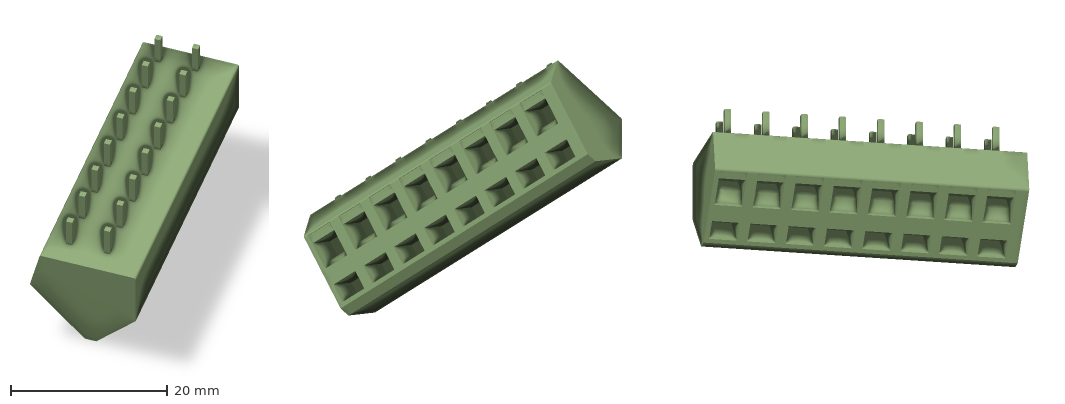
import cadquery as cq
import math

LENGTH = 41.0
RIGHT_X = 14.25
HOUSING_TOP = 13.0
TOP_LEFT_X = 1.3
NOSE_X = -0.05
NOSE_Z = 7.42
KEEL_LEFT_X = NOSE_X + NOSE_Z
KEEL_RIGHT_X = 8.95
RIGHT_WALL_BOTTOM = RIGHT_X - KEEL_RIGHT_X
TOP_RADIUS = 0.3
NOSE_RADIUS = 0.4

POLE_COUNT = 8
POLE_PITCH = 5.0
LAST_POLE_Y = 18.05
POLE_YS = [LAST_POLE_Y - i * POLE_PITCH for i in range(POLE_COUNT)]

PIN_SIZE = 0.8
PIN_TOP = 17.0
PIN_XS = (4.22, 9.3)

OPENING_WIDTH = 3.6
HOLE_DEPTH = 5.0
LOWER_HOLE_BOTTOM = 0.4
LOWER_HOLE_TOP = 2.2
UPPER_HOLE_BOTTOM = 3.85
UPPER_HOLE_TOP = 6.48
LEDGE_DEPTH = 0.7
LEDGE_RISE = 1.95
LEDGE_RUN = 0.45
RECESS_TOP = 7.3
RECESS_DEPTH = 0.2


def face_point(height, depth=0.0):
    """Point `depth` behind the lower left face, entering it at the given height."""
    inward = depth / math.sqrt(2)
    return (KEEL_LEFT_X - height + inward, height + inward)


def prism(outline, width, centre_y=0.0):
    """Extrude an XZ outline along Y, centred on centre_y."""
    plane = cq.Workplane("XZ", origin=(0, centre_y + width / 2, 0))
    return plane.polyline(outline).close().extrude(width)


def make_housing():
    outline = [
        (TOP_LEFT_X, HOUSING_TOP),
        (RIGHT_X, HOUSING_TOP),
        (RIGHT_X, RIGHT_WALL_BOTTOM),
        (KEEL_RIGHT_X, 0),
        (KEEL_LEFT_X, 0),
        (NOSE_X, NOSE_Z),
    ]
    housing = prism(outline, LENGTH)
    housing = housing.faces(">Z").edges("|Y").fillet(TOP_RADIUS)
    nose = cq.selectors.NearestToPointSelector((NOSE_X, 0, NOSE_Z))
    return housing.edges("|Y").edges(nose).fillet(NOSE_RADIUS)


def lower_hole(y):
    outline = [
        face_point(LOWER_HOLE_BOTTOM),
        face_point(LOWER_HOLE_BOTTOM, HOLE_DEPTH),
        face_point(LOWER_HOLE_TOP, HOLE_DEPTH),
        face_point(LOWER_HOLE_TOP),
    ]
    return prism(outline, OPENING_WIDTH, y)


def upper_hole(y):
    """Hole with a steep ledge on its lower side and a shallow recess above it."""
    ledge_x, ledge_z = face_point(UPPER_HOLE_BOTTOM, LEDGE_DEPTH)
    throat_x = ledge_x + LEDGE_RUN
    throat_z = ledge_z + LEDGE_RISE
    throat_face_height = (KEEL_LEFT_X + throat_z - throat_x) / 2
    outline = [
        face_point(UPPER_HOLE_BOTTOM),
        (ledge_x, ledge_z),
        (throat_x, throat_z),
        face_point(throat_face_height, HOLE_DEPTH),
        face_point(UPPER_HOLE_TOP, HOLE_DEPTH),
        face_point(UPPER_HOLE_TOP, RECESS_DEPTH),
        face_point(RECESS_TOP, RECESS_DEPTH),
        face_point(RECESS_TOP),
    ]
    return prism(outline, OPENING_WIDTH, y)


def pin(x, y):
    height = PIN_TOP - HOUSING_TOP
    base = cq.Workplane("XY", origin=(x, y, HOUSING_TOP))
    return base.rect(PIN_SIZE, PIN_SIZE).extrude(height)


result = make_housing()
for pole_y in POLE_YS:
    result = result.cut(lower_hole(pole_y)).cut(upper_hole(pole_y))
    for pin_x in PIN_XS:
        result = result.union(pin(pin_x, pole_y))